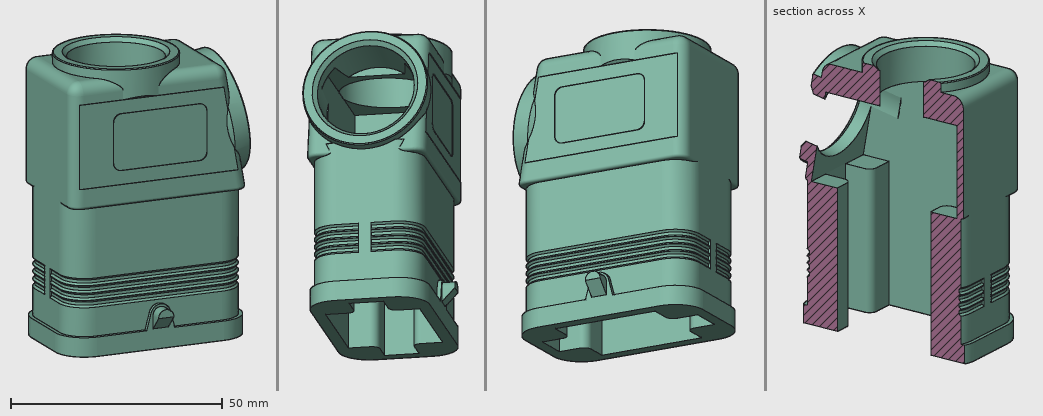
import cadquery as cq
import math

flange_width = 28.75
flange_length = 48.0
flange_radius = 7.5
flange_height = 4.8
flange_overhang = 1.0
body_width = flange_width - 2 * flange_overhang
body_length = flange_length - 2 * flange_overhang
body_radius = flange_radius - flange_overhang

total_height = 70.0
port_projection = 2.5
hood_bottom = 36.5
hood_top = total_height - port_projection
hood_width = flange_width
hood_lean = 10.0
hood_radius = 2.95
hood_bottom_radius = 0.7

panel_bottom = 41.6
panel_top = 62.4
panel_depth = 0.2
pocket_length = 24.3
pocket_height = 14.0
pocket_radius = 2.0
pocket_depth = 0.2

port_diameter = 30.2
port_edge_chamfer = 0.25
bore_diameter = 23.4
top_bore_depth = 10.0
side_bore_depth = 12.3
countersink_diameter = 25.5
countersink_depth = 1.05
top_port_y = -5.1
overhang_slope = 40.0
side_port_y = 22.63
side_port_z = 52.75
side_port_length = 4.15
side_port_cone_length = 1.4
side_port_cone_drop = 1.2

groove_count = 4
groove_bottom = 11.9
groove_pitch = 1.82
groove_depth = 0.5
groove_floor = 0.75
grip_gap = 3.0

pin_span = 35.0
pin_radius = 2.0
pin_z = 8.4
gusset_drop = 3.3
pad_radius = 2.6
pad_side_angle = 15.0

wall = 2.0
cavity_width = body_width - 2 * wall
cavity_length = body_length - 2 * wall
cavity_radius = body_radius - wall
cavity_top = total_height - top_bore_depth
boss_inner_x = 4.15
boss_inner_y = 13.5
boss_radius = 2.0


lean = math.radians(hood_lean)
top_face = cq.Plane((0, top_port_y, total_height), (1, 0, 0), (0, 0, 1))
side_face = cq.Plane((0, side_port_y, side_port_z), (1, 0, 0), (0, math.cos(lean), math.sin(lean)))


def rounded_prism(width, length, radius, bottom, height, taper=0.0):
    """Upright prism on a rounded rectangle centred on the Z axis."""
    section = cq.Sketch().rect(width, length).vertices().fillet(radius)
    return cq.Workplane("XY", origin=(0, 0, bottom)).placeSketch(section).extrude(height, taper=taper)


def leaning_prism(width, front_y, back_y, bottom, top):
    """Block whose +Y face leans inward; back_y is where that face starts."""
    back_top_y = back_y - (top - bottom) * math.tan(lean)
    profile = [(front_y, bottom), (back_y, bottom), (back_top_y, top), (front_y, top)]
    return cq.Workplane("YZ").polyline(profile).close().extrude(width / 2, both=True)


def make_hood():
    half_length = body_length / 2
    hood = leaning_prism(hood_width, -half_length, half_length, hood_bottom, hood_top)
    hood = hood.edges("not(<Z)").fillet(hood_radius)
    return hood.faces("<Z").edges().fillet(hood_bottom_radius)


def make_panel_cut(side):
    """Shallow step over one side of the hood, with a deeper pocket in its middle."""
    panel_x = hood_width / 2 - panel_depth
    panel_height = panel_top - panel_bottom
    panel_z = (panel_bottom + panel_top) / 2
    panel = cq.Workplane("XY").box(2 * panel_depth, 2 * body_length, panel_height)
    panel = panel.translate((side * (panel_x + panel_depth), 0, panel_z))
    pocket = cq.Workplane("XY").box(2 * pocket_depth, pocket_length, pocket_height)
    pocket = pocket.edges("|X").fillet(pocket_radius)
    return panel.union(pocket.translate((side * panel_x, 0, panel_z)))


def make_grip_cut():
    """Trapezoidal grooves around the body, leaving a plain strip at each end."""
    core_width = body_width - 2 * groove_depth
    core_length = body_length - 2 * groove_depth
    core_radius = body_radius - groove_depth
    groove_height = groove_floor + 2 * groove_depth
    cutter = cq.Workplane("XY")
    for index in range(groove_count):
        bottom = groove_bottom + index * groove_pitch
        floor_top = bottom + groove_depth + groove_floor
        band = rounded_prism(body_width, body_length, body_radius, bottom, groove_height)
        narrowing = rounded_prism(body_width, body_length, body_radius, bottom, groove_depth, 45)
        core = rounded_prism(core_width, core_length, core_radius, bottom, groove_height)
        widening = rounded_prism(core_width, core_length, core_radius, floor_top, groove_depth, -45)
        cutter = cutter.add(band.cut(narrowing).cut(core).cut(widening))
    strip = cq.Workplane("XY").box(grip_gap, 2 * body_length, 2 * total_height)
    return cutter.combine().cut(strip)


def make_pin(side):
    """Locking pin along X, its gusset below and its pad flush with the flange."""
    pad_x = flange_width / 2
    tip_x = pin_span / 2
    angle = math.radians(pad_side_angle)
    tangent_y = pad_radius * math.cos(angle)
    tangent_z = pin_z + pad_radius * math.sin(angle)
    foot_y = tangent_y + (tangent_z - flange_height) * math.tan(angle)
    pad = (
        cq.Workplane("YZ", origin=(cavity_width / 2, 0, 0))
        .moveTo(-foot_y, flange_height)
        .lineTo(-tangent_y, tangent_z)
        .threePointArc((0, pin_z + pad_radius), (tangent_y, tangent_z))
        .lineTo(foot_y, flange_height)
        .close()
        .extrude(pad_x - cavity_width / 2)
    )
    pin = (
        cq.Workplane("YZ", origin=(pad_x, 0, 0))
        .moveTo(-pin_radius, pin_z)
        .threePointArc((0, pin_z + pin_radius), (pin_radius, pin_z))
        .close()
        .extrude(tip_x - pad_x)
    )
    gusset = (
        cq.Workplane("XZ")
        .polyline([(pad_x, pin_z), (tip_x, pin_z), (pad_x, pin_z - gusset_drop)])
        .close()
        .extrude(pin_radius, both=True)
    )
    lock = pad.union(pin).union(gusset)
    return lock if side > 0 else lock.mirror("YZ")


def make_collar(face, length):
    """Round port collar running inward from its outer face."""
    radius = port_diameter / 2
    rim = cq.Workplane(face).circle(radius - port_edge_chamfer).workplane(offset=-port_edge_chamfer)
    rim = rim.circle(radius).loft()
    barrel = cq.Workplane(face).workplane(offset=-port_edge_chamfer)
    return rim.union(barrel.circle(radius).extrude(port_edge_chamfer - length))


def make_top_port():
    """Upright collar ending at the panels, its overhang sloping into the hood sides."""
    collar = make_collar(top_face, total_height - panel_top)
    hood_x = hood_width / 2
    rise = port_diameter * math.tan(math.radians(overhang_slope))
    for side in (-1, 1):
        outer_x = side * (hood_x + port_diameter)
        triangle = [(side * hood_x, panel_top), (outer_x, panel_top), (outer_x, panel_top + rise)]
        wedge = cq.Workplane("XZ").polyline(triangle).close().extrude(body_length, both=True)
        collar = collar.cut(wedge)
    return collar


def make_side_port():
    """Leaning collar ending in a cone that blends into the hood sides."""
    radius = port_diameter / 2
    cone_start = side_face.origin - side_face.zDir * side_port_length
    cone = cq.Solid.makeCone(
        radius, radius - side_port_cone_drop, side_port_cone_length, cone_start, side_face.zDir * -1
    )
    return make_collar(side_face, side_port_length).union(cq.Workplane(cone))


def make_bore(face, depth):
    """Bore through a port with a shallow countersink at its mouth."""
    bore_radius = bore_diameter / 2
    bore = cq.Workplane(face).circle(bore_radius).extrude(-depth)
    mouth = cq.Solid.makeCone(
        countersink_diameter / 2, bore_radius, countersink_depth, face.origin, face.zDir * -1
    )
    return bore.union(cq.Workplane(mouth))


def make_boss(side_x, side_y):
    """Corner block kept inside the body for a mounting screw."""
    size_x = body_width / 2 - boss_inner_x
    size_y = body_length / 2 - boss_inner_y
    boss = cq.Workplane("XY").box(size_x, size_y, hood_bottom, centered=(True, True, False))
    boss = boss.edges("|Z").fillet(boss_radius)
    center_x = side_x * (boss_inner_x + size_x / 2)
    center_y = side_y * (boss_inner_y + size_y / 2)
    return boss.translate((center_x, center_y, 0))


def make_cavity():
    """Inner space: straight in the body, following the leaning face in the hood."""
    lower = rounded_prism(cavity_width, cavity_length, cavity_radius, 0, hood_bottom)
    half_length = cavity_length / 2
    upper = leaning_prism(cavity_width, -half_length, half_length, hood_bottom, cavity_top)
    for side_x in (-1, 1):
        for side_y in (-1, 1):
            lower = lower.cut(make_boss(side_x, side_y))
    return lower.union(upper)


shell = rounded_prism(body_width, body_length, body_radius, 0, hood_bottom + hood_radius)
shell = shell.cut(make_grip_cut())
shell = shell.union(rounded_prism(flange_width, flange_length, flange_radius, 0, flange_height))
hood = make_hood()
for side in (-1, 1):
    hood = hood.cut(make_panel_cut(side))
    shell = shell.union(make_pin(side))
shell = shell.union(hood).union(make_top_port()).union(make_side_port()).cut(make_cavity())
shell = shell.cut(make_bore(top_face, top_bore_depth))
result = shell.cut(make_bore(side_face, side_bore_depth))